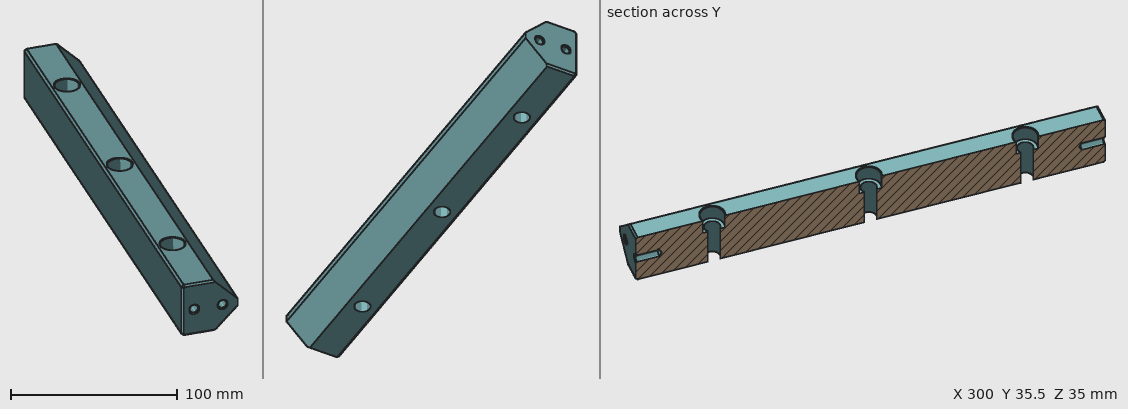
import cadquery as cq
import math

length = 300.0
depth = 35.5
height = 35.0
nose_height = 4.5
nose_run = (height - nose_height) / 2
long_edge_chamfer = 1.5
end_edge_chamfer = 1.2

mount_count = 3
mount_pitch = length / mount_count
mount_y = 10.8
mount_diameter = 10.0
counterbore_diameter = 15.0
counterbore_depth = 10.0
counterbore_lead_in = 0.45

end_hole_y = (7.8, 25.8)
end_hole_diameter = 5.0
end_hole_depth = 15.0
end_hole_lead_in = 0.75
drill_tip_angle = 118.0
drill_tip_length = end_hole_diameter / 2 / math.tan(math.radians(drill_tip_angle / 2))


def make_bar():
    """Section with a flat back at Y = 0 and a blunt nose at Y = depth, centred on X and Z."""
    half_height = height / 2
    half_nose = nose_height / 2
    section = [
        (0, -half_height),
        (depth - nose_run, -half_height),
        (depth, -half_nose),
        (depth, half_nose),
        (depth - nose_run, half_height),
        (0, half_height),
    ]
    prism = cq.Workplane("YZ").polyline(section).close().extrude(length / 2, both=True)

    block = cq.Workplane("XY").box(length, depth, height, centered=(True, False, True))
    block = block.faces("<Y").edges("|X").chamfer(long_edge_chamfer)
    end_edges = block.faces("<X").edges("not >Y").add(block.faces(">X").edges("not >Y"))
    chamfered_block = end_edges.chamfer(end_edge_chamfer)
    return prism.intersect(chamfered_block)


def cylinder(diameter, start, direction, reach):
    return cq.Workplane(cq.Solid.makeCylinder(diameter / 2, reach, start, direction))


def lead_in(diameter, size, start, direction):
    """Cone that breaks the mouth of a hole at 45 degrees."""
    radius = diameter / 2
    return cq.Workplane(cq.Solid.makeCone(radius + size, radius, size, start, direction))


def make_mount_hole(x):
    top = cq.Vector(x, mount_y, height / 2)
    down = cq.Vector(0, 0, -1)
    hole = cylinder(mount_diameter, top, down, height)
    hole = hole.union(cylinder(counterbore_diameter, top, down, counterbore_depth))
    return hole.union(lead_in(counterbore_diameter, counterbore_lead_in, top, down))


def make_end_hole(side, y):
    """Blind hole in the end at -X (side = -1) or +X (side = 1)."""
    mouth = cq.Vector(side * length / 2, y, 0)
    inward = cq.Vector(-side, 0, 0)
    hole = cylinder(end_hole_diameter, mouth, inward, end_hole_depth)
    tip_start = mouth + inward * end_hole_depth
    tip = cq.Solid.makeCone(end_hole_diameter / 2, 0, drill_tip_length, tip_start, inward)
    hole = hole.union(cq.Workplane(tip))
    return hole.union(lead_in(end_hole_diameter, end_hole_lead_in, mouth, inward))


result = make_bar()

for index in range(mount_count):
    mount_x = (index - (mount_count - 1) / 2) * mount_pitch
    result = result.cut(make_mount_hole(mount_x))

for end_side in (-1, 1):
    for hole_y in end_hole_y:
        result = result.cut(make_end_hole(end_side, hole_y))